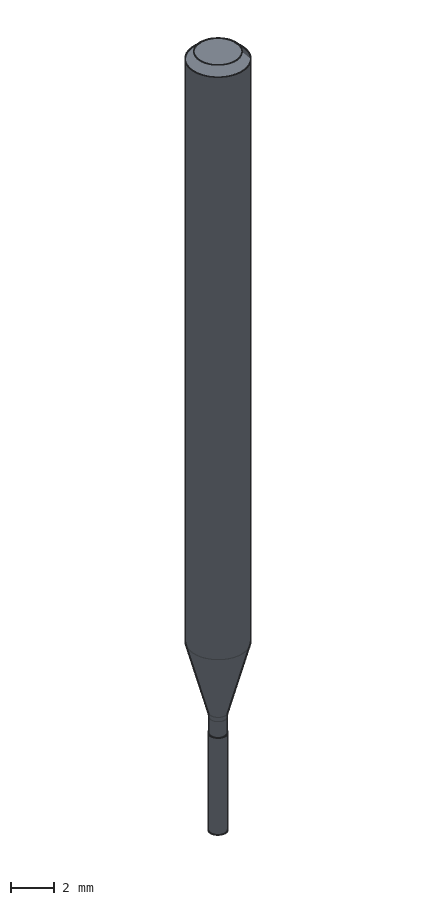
import cadquery as cq
import math

overall_length = 43.0
shank_diameter = 3.0
drill_diameter = 0.9

point_angle = 140.0
cutting_length = 5.5

neck_diameter = 0.85
neck_top = 6.4
taper_half_angle = math.radians(15.0)
blend_radius = 1.0
end_chamfer = 0.4

drill_radius = drill_diameter / 2
point_height = drill_radius / math.tan(math.radians(point_angle / 2))

neck_radius = neck_diameter / 2
shank_radius = shank_diameter / 2


def blend_point(angle):
    """Point (radius, height) on the blend arc where its tangent leans out from the axis by the angle."""
    radius = neck_radius + blend_radius * (1 - math.cos(angle))
    height = neck_top + blend_radius * math.sin(angle)
    return radius, height


blend_middle = blend_point(taper_half_angle / 2)
blend_end = blend_point(taper_half_angle)
taper_top = blend_end[1] + (shank_radius - blend_end[0]) / math.tan(taper_half_angle)


def revolve_about_axis(outline):
    """Close a (radius, height) outline and revolve it a full turn about Z."""
    return outline.close().revolve(360, (0, 0), (0, 1))


def make_drill():
    """Cylindrical cutting length with a conical point."""
    outline = (
        cq.Workplane("XZ")
        .moveTo(0, 0)
        .lineTo(drill_radius, point_height)
        .lineTo(drill_radius, cutting_length)
        .lineTo(0, cutting_length)
    )
    return revolve_about_axis(outline)


def make_shank():
    """Neck standing on the drill, blended and tapered out to the grip with its chamfered end."""
    outline = (
        cq.Workplane("XZ")
        .moveTo(0, cutting_length)
        .lineTo(neck_radius, cutting_length)
        .lineTo(neck_radius, neck_top)
        .threePointArc(blend_middle, blend_end)
        .lineTo(shank_radius, taper_top)
        .lineTo(shank_radius, overall_length - end_chamfer)
        .lineTo(shank_radius - end_chamfer, overall_length)
        .lineTo(0, overall_length)
    )
    return revolve_about_axis(outline)


drill = make_drill()
shank = make_shank()

result = cq.Compound.makeCompound([drill.val(), shank.val()])